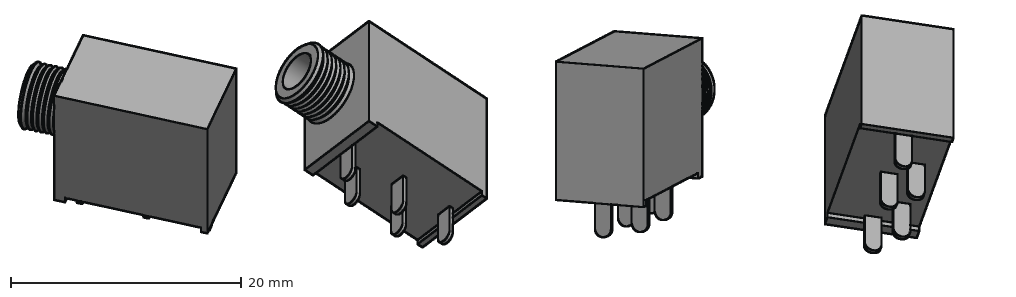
import cadquery as cq

total_length = 18.0
total_height = 15.6
body_width = 8.2
body_height = 12.3
barrel_length = 4.0
body_length = total_length - barrel_length

recess_height = 0.5
front_foot_length = 0.99
rear_foot_length = 0.6

barrel_y = 0.81
barrel_z = body_height - 5.3
collar_radius = 3.0
root_radius = 2.7
bore_radius = 1.8
bore_depth = barrel_length
thread_pitch = 0.5
thread_count = 6
collar_slope = collar_radius - root_radius
collar_flat = barrel_length - thread_count * thread_pitch - 3 * collar_slope
thread_height = thread_pitch / 2

pin_thickness = 0.4
pin_width = 1.5
pin_length = total_height - body_height
short_pin_length = pin_length - 0.1
near_row_y = -0.1
far_row_y = near_row_y + 2.0
pins = [
    (1.2, near_row_y, pin_length),
    (3.6, far_row_y, pin_length),
    (7.29, near_row_y, pin_length),
    (9.09, far_row_y, pin_length),
    (12.8, near_row_y, short_pin_length),
]


def make_body():
    block = cq.Workplane("XY").box(body_length, body_width, body_height, centered=(False, True, False))
    recess_length = body_length - front_foot_length - rear_foot_length
    recess = (
        cq.Workplane("XY")
        .box(recess_length, body_width, recess_height, centered=(False, True, False))
        .translate((front_foot_length, 0, 0))
    )
    return block.cut(recess)


def make_barrel():
    """Revolve a half profile drawn as (distance from the free end, radius)."""
    position = collar_slope
    profile = [(0, 0), (0, root_radius), (position, collar_radius)]
    position += collar_flat
    profile.append((position, collar_radius))
    position += collar_slope
    profile.append((position, root_radius))
    for _ in range(thread_count):
        profile.append((position + thread_pitch / 2, root_radius + thread_height))
        position += thread_pitch
        profile.append((position, root_radius))
    profile += [(barrel_length, collar_radius), (barrel_length, 0)]
    barrel = cq.Workplane("XY").polyline(profile).close().revolve(360, (0, 0, 0), (1, 0, 0))
    return barrel.translate((-barrel_length, barrel_y, barrel_z))


def make_bore():
    return (
        cq.Workplane("YZ", origin=(-barrel_length, 0, 0))
        .center(barrel_y, barrel_z)
        .circle(bore_radius)
        .extrude(bore_depth)
    )


def make_pin(x, y, length):
    half_width = pin_width / 2
    return (
        cq.Workplane("YZ", origin=(x - pin_thickness / 2, y, 0))
        .moveTo(-half_width, recess_height)
        .lineTo(-half_width, half_width - length)
        .threePointArc((0, -length), (half_width, half_width - length))
        .lineTo(half_width, recess_height)
        .close()
        .extrude(pin_thickness)
    )


result = make_body().union(make_barrel()).cut(make_bore())
for pin_x, row_y, length in pins:
    result = result.union(make_pin(pin_x, row_y, length))